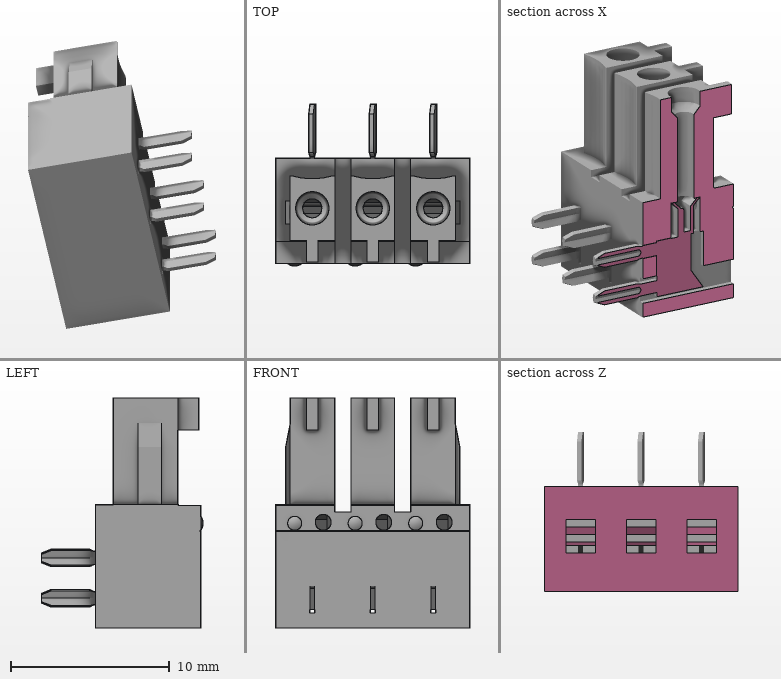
import cadquery as cq
import math

pole_count = 3
pole_pitch = 3.81
pole_positions = [(i - (pole_count - 1) / 2) * pole_pitch for i in range(pole_count)]

body_width = 12.22
body_depth = 6.65
body_height = 7.79
front_ledge_depth = 1.41
front_ledge_drop = 0.06
groove_height = 0.06
groove_depth = 0.05
groove_z = 6.1

total_height = 14.5
tower_row_width = 10.4
tower_front_y = 1.45
tower_back_y = 5.53
channel_width = 1.01
channel_center = 1.885
channel_floor_z = 7.33
scallop_chord = 2.5
scallop_sag = 0.18

key_width = 0.75
key_height = 2.03
key_front_y = 0.12

rib_thickness = 0.29
rib_front_y = 2.49
rib_back_y = 3.95
rib_slope_z = 11.4
rib_top_z = 12.9

entry_y = 3.49
entry_diameter = 2.1
entry_depth = 1.0
entry_cone_height = 0.5
bore_diameter = 1.2

dome_offset = -1.11
dome_z = 6.61
dome_radius = 0.44
dome_rise = 0.15
test_hole_offset = 0.69
test_hole_z = 6.67
test_hole_diameter = 1.0
slit_width = 0.3
slit_bottom_z = 0.97
slit_top_z = 2.6

clip_half_width = 0.92
clip_sheet = 0.25
clip_floor_z = 5.2
clip_gap_front_y = 3.155
clip_gap_back_y = 3.6
clip_waist_z = 6.85
clip_flare = 0.45
lip_round = 0.24
clip_front_y = clip_gap_front_y - clip_sheet
clip_back_y = clip_gap_back_y + lip_round + clip_sheet
clip_top_z = clip_waist_z + clip_flare
clip_bottom_z = clip_floor_z - clip_sheet

plate_bottom_z = 1.18
plate_slope_top_z = 2.5
plate_front_y = 2.2
plate_slope_run = 0.9
plate_back_y = 5.6

tail_length = 3.4
tail_levels = (1.89, 4.43)
neck_half_height = 0.42
neck_length = 0.1
tail_transition = 0.25
chevron_half_height = 0.55
chevron_angle = math.radians(17)
tip_length = 0.62
tip_half_height = 0.3
tail_end_y = body_depth + tail_length


def box(x_min, x_max, y_min, y_max, z_min, z_max):
    size = (x_max - x_min, y_max - y_min, z_max - z_min)
    return cq.Workplane("XY").box(*size, centered=False).translate((x_min, y_min, z_min))


def extrude_side_profile(profile, half_width):
    """Extrude a closed profile of the YZ plane symmetrically along X."""
    return profile.extrude(half_width, both=True)


def make_block():
    half = body_width / 2
    block = box(-half, half, 0, body_depth, 0, body_height)
    ledge = box(-half, half, 0, front_ledge_depth, body_height - front_ledge_drop, body_height)
    groove = box(-half, half, 0, groove_depth, groove_z, groove_z + groove_height)
    return block.cut(ledge).cut(groove)


def make_scallop(x):
    half_chord = scallop_chord / 2
    outline = (
        cq.Workplane("XY", origin=(x, tower_back_y, body_height))
        .moveTo(-half_chord, 0)
        .threePointArc((0, -scallop_sag), (half_chord, 0))
        .close()
    )
    return outline.extrude(total_height - body_height)


def make_key(x):
    half = key_width / 2
    return box(x - half, x + half, key_front_y, tower_front_y, total_height - key_height, total_height)


def make_side_rib():
    """Lead-in rib on the -X side of the tower row."""
    inner_x = -tower_row_width / 2
    outer_x = inner_x - rib_thickness
    profile = (
        cq.Workplane("XZ", origin=(0, rib_back_y, 0))
        .moveTo(inner_x, body_height)
        .lineTo(outer_x, body_height)
        .lineTo(outer_x, rib_slope_z)
        .lineTo(inner_x, rib_top_z)
        .close()
    )
    return profile.extrude(rib_back_y - rib_front_y)


def make_entry_hole(x):
    cone_top_z = total_height - entry_depth
    cone_bottom_z = cone_top_z - entry_cone_height
    profile = (
        cq.Workplane("XZ", origin=(x, entry_y, 0))
        .moveTo(0, total_height)
        .lineTo(entry_diameter / 2, total_height)
        .lineTo(entry_diameter / 2, cone_top_z)
        .lineTo(bore_diameter / 2, cone_bottom_z)
        .lineTo(bore_diameter / 2, clip_waist_z)
        .lineTo(0, clip_waist_z)
        .close()
    )
    return profile.revolve(360, (0, 0, 0), (0, 1, 0))


def make_dome(x):
    """Shallow spherical cap standing on the front face."""
    sphere_radius = (dome_radius**2 + dome_rise**2) / (2 * dome_rise)
    half_angle = math.asin(dome_radius / sphere_radius) / 2
    arc_middle = (
        sphere_radius * math.sin(half_angle),
        sphere_radius * (1 - math.cos(half_angle)) - dome_rise,
    )
    profile = (
        cq.Workplane("XY", origin=(x + dome_offset, 0, dome_z))
        .moveTo(0, -dome_rise)
        .threePointArc(arc_middle, (dome_radius, 0))
        .lineTo(0, 0)
        .close()
    )
    return profile.revolve(360, (0, 0, 0), (0, 1, 0))


def make_test_hole(x):
    plane = cq.Workplane("XZ", origin=(x + test_hole_offset, 0, test_hole_z))
    return plane.circle(test_hole_diameter / 2).extrude(-clip_front_y)


def make_contact_space(x):
    """Clip chamber, plate slot, front slit and upper neck slot of one pole."""
    half = slit_width / 2
    chamber = box(
        x - clip_half_width,
        x + clip_half_width,
        clip_front_y - clip_flare,
        clip_back_y + clip_flare,
        clip_bottom_z,
        clip_top_z,
    )
    plate_slot = box(x - half, x + half, plate_front_y, plate_back_y, plate_bottom_z, clip_bottom_z)
    slit = box(x - half, x + half, 0, body_depth, slit_bottom_z, slit_top_z)
    neck_bottom_z = tail_levels[1] - neck_half_height
    neck_top_z = tail_levels[1] + neck_half_height
    neck_slot = box(x - half, x + half, plate_back_y, body_depth, neck_bottom_z, neck_top_z)
    return chamber.union(plate_slot).union(slit).union(neck_slot)


def make_housing():
    row_half = tower_row_width / 2
    towers = box(-row_half, row_half, tower_front_y, tower_back_y, channel_floor_z, total_height)
    rib = make_side_rib()
    housing = make_block().union(towers).union(rib).union(rib.mirror("YZ"))
    for side in (-1, 1):
        middle = side * channel_center
        half = channel_width / 2
        channel = box(middle - half, middle + half, 0, body_depth, channel_floor_z, total_height)
        housing = housing.cut(channel)
    for x in pole_positions:
        housing = housing.union(make_key(x)).union(make_dome(x))
        for pocket in (make_scallop, make_entry_hole, make_test_hole, make_contact_space):
            housing = housing.cut(pocket(x))
    return housing


def make_clip():
    """Spring trough whose two leaves flare outward; the rear lip is rounded."""
    lip_middle = lip_round * math.sqrt(0.5)
    rear_lip_y = clip_gap_back_y + lip_round
    profile = (
        cq.Workplane("YZ")
        .moveTo(clip_front_y, clip_bottom_z)
        .lineTo(clip_front_y, clip_waist_z)
        .lineTo(clip_front_y - clip_flare, clip_top_z)
        .lineTo(clip_gap_front_y - clip_flare, clip_top_z)
        .lineTo(clip_gap_front_y, clip_waist_z)
        .lineTo(clip_gap_front_y, clip_floor_z)
        .lineTo(clip_gap_back_y, clip_floor_z)
        .lineTo(clip_gap_back_y, clip_waist_z - lip_round)
        .threePointArc(
            (rear_lip_y - lip_middle, clip_waist_z - lip_round + lip_middle),
            (rear_lip_y, clip_waist_z),
        )
        .lineTo(rear_lip_y + clip_flare, clip_top_z)
        .lineTo(clip_back_y + clip_flare, clip_top_z)
        .lineTo(clip_back_y, clip_waist_z)
        .lineTo(clip_back_y, clip_bottom_z)
        .close()
    )
    return extrude_side_profile(profile, clip_half_width)


def make_plate():
    slope_top_y = plate_front_y + plate_slope_run
    profile = (
        cq.Workplane("YZ")
        .moveTo(plate_front_y, plate_bottom_z)
        .lineTo(plate_back_y, plate_bottom_z)
        .lineTo(plate_back_y, clip_bottom_z)
        .lineTo(slope_top_y, clip_bottom_z)
        .lineTo(slope_top_y, plate_slope_top_z)
        .close()
    )
    return extrude_side_profile(profile, slit_width / 2)


def neck_points():
    half = slit_width / 2
    top = neck_half_height
    return [(-half, -top), (half, -top), (half, 0), (half, top), (-half, top), (-half, 0)]


def chevron_points(half_height):
    """Bent strip section, opening toward -X with its ridge toward +X."""
    end_run = slit_width * math.cos(chevron_angle)
    end_drop = slit_width * math.sin(chevron_angle)
    full_lean = chevron_half_height * math.tan(chevron_angle)
    ridge_x = (end_run + full_lean) / 2
    valley_x = ridge_x - slit_width / math.cos(chevron_angle)
    outer_x = ridge_x - half_height * math.tan(chevron_angle)
    inner_x = outer_x - end_run
    inner_height = half_height - end_drop
    return [
        (inner_x, -inner_height),
        (outer_x, -half_height),
        (ridge_x, 0),
        (outer_x, half_height),
        (inner_x, inner_height),
        (valley_x, 0),
    ]


def loft_along_y(start_y, start_points, end_y, end_points, level):
    sections = (
        cq.Workplane("XZ", origin=(0, start_y, level))
        .polyline(start_points)
        .close()
        .workplane(offset=start_y - end_y)
        .polyline(end_points)
        .close()
    )
    return sections.loft(ruled=True)


def make_tail(level):
    """One solder tail running along +Y at the given height."""
    half = slit_width / 2
    neck_end_y = body_depth + neck_length
    chevron_y = neck_end_y + tail_transition
    tip_y = tail_end_y - tip_length
    full_section = chevron_points(chevron_half_height)
    tip_section = chevron_points(tip_half_height)
    neck = box(-half, half, plate_back_y, neck_end_y, level - neck_half_height, level + neck_half_height)
    transition = loft_along_y(neck_end_y, neck_points(), chevron_y, full_section, level)
    blade = loft_along_y(chevron_y, full_section, tip_y, full_section, level)
    tip = loft_along_y(tip_y, full_section, tail_end_y, tip_section, level)
    return neck.union(transition).union(blade).union(tip)


def make_contact(x):
    contact = make_clip().union(make_plate())
    for level in tail_levels:
        contact = contact.union(make_tail(level))
    return contact.translate((x, 0, 0))


housing = make_housing()
contacts = [make_contact(x) for x in pole_positions]
result = cq.Compound.makeCompound([housing.val(), *[contact.val() for contact in contacts]])